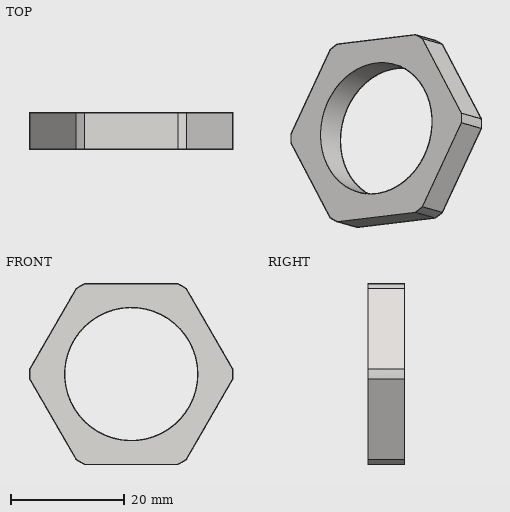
import cadquery as cq
import math

corner_diameter = 36.0
across_flats = 32.0
thickness = 6.5
bore_diameter = 23.5

sharp_corner_diameter = across_flats / math.cos(math.pi / 6)
hexagon = (
    cq.Workplane("XZ")
    .polygon(6, sharp_corner_diameter)
    .extrude(thickness / 2, both=True)
)

corner_trim = (
    cq.Workplane("XZ")
    .circle(corner_diameter / 2)
    .extrude(thickness / 2, both=True)
)

bore = (
    cq.Workplane("XZ")
    .circle(bore_diameter / 2)
    .extrude(thickness / 2, both=True)
)

result = hexagon.intersect(corner_trim).cut(bore)